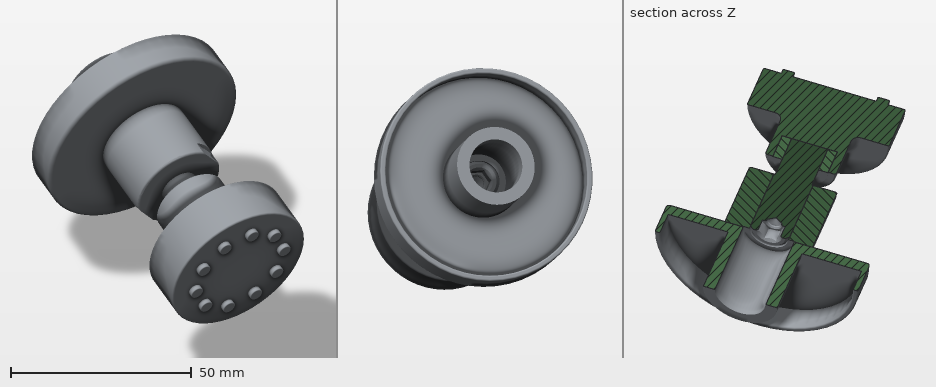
import cadquery as cq
import math

CUP_RIM_X = 13.05
CUP_BACK_X = 23.1
HUB_END_X = 43.1
COLLAR_FACE_X = 48.4
KNOB_START_X = 48.6
DISC_FACE_X = 62.8
DISC_BACK_X = 76.3
OVERALL_LENGTH = 77.75

CUP_RADIUS = 30.0
CUP_INNER_RADIUS = 28.45
CUP_DEPTH = 6.8
CUP_RIM_FILLET = 0.5
CUP_BACK_FILLET = 1.0
TUBE_RADIUS = 11.0
TUBE_BORE_RADIUS = 7.5

HUB_RADIUS = 13.0
HUB_FRONT_FILLET = 0.3
HUB_END_FILLET = 0.6
FLAT_DISTANCE = 12.05
FLAT_LENGTH = 3.9
FLAT_ANGLE = 31.5

SPINDLE_END_RADIUS = 5.7
SPINDLE_END_CHAMFER = 0.85
SHANK_RADIUS = 5.45
SHANK_SEAT_DEPTH = 7.8

SOCKET_FLATS = 6.0
SOCKET_TILT = 6.0
SOCKET_DEPTH = 3.9
SOCKET_MOUTH_RADIUS = 3.8
PILOT_RADIUS = 2.1
PILOT_DEPTH = 0.8
PILOT_RIM_RADIUS = 2.5
DRILL_POINT_ANGLE = 118.0

COLLAR_RADIUS = 8.25
SEAT_END_X = COLLAR_FACE_X + SHANK_SEAT_DEPTH

NECK_RADIUS = 10.5
NECK_CHAMFER = 0.5
NECK_FILLET = 2.0
DISC_RADIUS = 21.0
DISC_FILLET = 0.5
BOSS_COUNT = 10
BOSS_CIRCLE_RADIUS = 14.0
BOSS_RADIUS = 1.9
BOSS_FILLET = 0.2
BOSS_START_ANGLE = 2.2

AXIS_START = (0, 0, 0)
AXIS_END = (1, 0, 0)


def cylinder(start_x, end_x, radius):
    """Solid cylinder on the X axis between two stations."""
    return cq.Workplane("YZ", origin=(start_x, 0, 0)).circle(radius).extrude(end_x - start_x)


def cone(start_x, length, start_radius, end_radius):
    """Solid cone along the X axis; an end radius of zero makes a point."""
    base = cq.Vector(start_x, 0, 0)
    return cq.Workplane(cq.Solid.makeCone(start_radius, end_radius, length, base, cq.Vector(*AXIS_END)))


def turn(body, angle):
    """Rotate a body about the X axis, from +Y toward +Z."""
    return body.rotate(AXIS_START, AXIS_END, angle)


def make_cup():
    cup = cylinder(CUP_RIM_X, CUP_BACK_X, CUP_RADIUS)
    cup = cup.faces(">X").edges().fillet(CUP_BACK_FILLET)
    cup = cup.cut(cylinder(CUP_RIM_X, CUP_RIM_X + CUP_DEPTH, CUP_INNER_RADIUS))
    cup = cup.faces("<X").edges().fillet(CUP_RIM_FILLET)
    cup = cup.union(cylinder(0, CUP_BACK_X, TUBE_RADIUS))
    return cup.cut(cylinder(0, CUP_BACK_X, TUBE_BORE_RADIUS))


def make_hub():
    hub = cylinder(CUP_BACK_X, HUB_END_X, HUB_RADIUS)
    hub = hub.faces("<X").edges().fillet(HUB_FRONT_FILLET)
    hub = hub.faces(">X").edges().fillet(HUB_END_FILLET)
    flat_depth = HUB_RADIUS - FLAT_DISTANCE
    flat_center_x = HUB_END_X - FLAT_LENGTH / 2
    flat_center_y = FLAT_DISTANCE + flat_depth / 2
    flat = cq.Workplane().box(FLAT_LENGTH, flat_depth, 2 * HUB_RADIUS)
    flat = flat.translate((flat_center_x, flat_center_y, 0))
    for side_angle in (0, 180):
        hub = hub.cut(turn(flat, FLAT_ANGLE + side_angle))
    return hub.cut(cylinder(CUP_BACK_X, HUB_END_X, SPINDLE_END_RADIUS))


def make_socket():
    """Cutting shape: countersunk hexagon socket with a pilot hole in its floor."""
    corner_diameter = 2 * SOCKET_FLATS / math.sqrt(3)
    hexagon = cq.Workplane("YZ", origin=(CUP_BACK_X, 0, 0)).polygon(6, corner_diameter)
    socket = turn(hexagon.extrude(SOCKET_DEPTH), -SOCKET_TILT)
    mouth = cone(CUP_BACK_X, SOCKET_MOUTH_RADIUS, SOCKET_MOUTH_RADIUS, 0)
    floor_x = CUP_BACK_X + SOCKET_DEPTH
    pilot_end_x = floor_x + PILOT_DEPTH
    pilot_rim = cone(floor_x, PILOT_RIM_RADIUS - PILOT_RADIUS, PILOT_RIM_RADIUS, PILOT_RADIUS)
    pilot = cylinder(floor_x, pilot_end_x, PILOT_RADIUS)
    point_length = PILOT_RADIUS / math.tan(math.radians(DRILL_POINT_ANGLE / 2))
    pilot_point = cone(pilot_end_x, point_length, PILOT_RADIUS, 0)
    return socket.union(mouth).union(pilot_rim).union(pilot).union(pilot_point)


def make_spindle():
    spindle = cylinder(CUP_BACK_X, HUB_END_X, SPINDLE_END_RADIUS)
    spindle = spindle.faces("<X").edges().chamfer(SPINDLE_END_CHAMFER)
    spindle = spindle.union(cylinder(HUB_END_X, SEAT_END_X, SHANK_RADIUS))
    return spindle.cut(make_socket())


def make_collar():
    collar = cylinder(COLLAR_FACE_X, SEAT_END_X, COLLAR_RADIUS)
    return collar.cut(cylinder(COLLAR_FACE_X, SEAT_END_X, SHANK_RADIUS))


def neck_profile():
    """Half section of the neck, flaring through a concave arc into the disc face."""
    arc_center_x = DISC_FACE_X - NECK_FILLET
    arc_center_z = NECK_RADIUS + NECK_FILLET
    arc_reach = NECK_FILLET * math.sqrt(0.5)
    return (
        cq.Workplane("XZ")
        .moveTo(KNOB_START_X, 0)
        .lineTo(KNOB_START_X, NECK_RADIUS - NECK_CHAMFER)
        .lineTo(KNOB_START_X + NECK_CHAMFER, NECK_RADIUS)
        .lineTo(arc_center_x, NECK_RADIUS)
        .threePointArc((arc_center_x + arc_reach, arc_center_z - arc_reach), (DISC_FACE_X, arc_center_z))
        .lineTo(DISC_FACE_X, 0)
        .close()
    )


def make_knob():
    knob = cylinder(DISC_FACE_X, DISC_BACK_X, DISC_RADIUS).edges().fillet(DISC_FILLET)
    knob = knob.union(neck_profile().revolve(360, AXIS_START, AXIS_END))
    boss = cylinder(DISC_BACK_X, OVERALL_LENGTH, BOSS_RADIUS).faces(">X").edges().fillet(BOSS_FILLET)
    boss = boss.translate((0, BOSS_CIRCLE_RADIUS, 0))
    for index in range(BOSS_COUNT):
        knob = knob.union(turn(boss, BOSS_START_ANGLE + index * 360 / BOSS_COUNT))
    return knob.cut(cylinder(KNOB_START_X, SEAT_END_X, COLLAR_RADIUS))


cup = make_cup()
hub = make_hub()
spindle = make_spindle()
collar = make_collar()
knob = make_knob()

result = cq.Compound.makeCompound([cup.val(), hub.val(), spindle.val(), collar.val(), knob.val()])